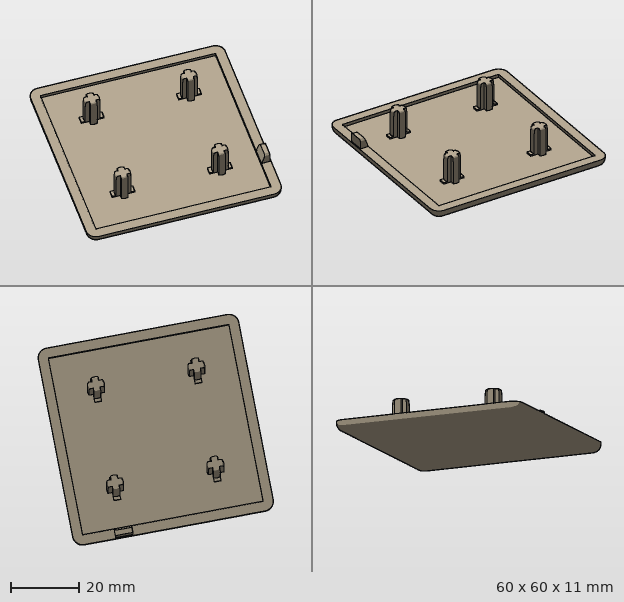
import cadquery as cq

plate_size = 60.0
plate_thickness = 3.0
plate_corner_radius = 3.0
underside_fillet = 2.45

rim_width = 3.0
recess_depth = 1.0
floor_z = plate_thickness - recess_depth

overall_height = 11.0
post_spacing = 30.0
post_diameter = 5.05
arm_width = 2.05
post_tip_diameter = 4.6
post_taper_height = 1.85
post_tip_fillet = 0.55
foot_length = 7.0
foot_height = 0.5

hook_x = post_spacing / 2
hook_width = 5.2
hook_height = 3.0
hook_edge_gap = 0.3
hook_base_thickness = 2.7
hook_top_thickness = 1.55
hook_corner_radius = 1.0


def make_plate():
    plate = (
        cq.Workplane("XY")
        .rect(plate_size, plate_size)
        .extrude(plate_thickness)
        .edges("|Z")
        .fillet(plate_corner_radius)
        .faces("<Z")
        .edges()
        .fillet(underside_fillet)
    )
    recess_size = plate_size - 2 * rim_width
    recess = (
        cq.Workplane("XY", origin=(0, 0, floor_z))
        .rect(recess_size, recess_size)
        .extrude(recess_depth)
    )
    return plate.cut(recess)


def make_post():
    """Cross trimmed to a round, tapered outline, with two feet along Y."""
    post_height = overall_height - floor_z
    radius = post_diameter / 2
    tip_radius = post_tip_diameter / 2
    envelope = (
        cq.Workplane("XZ")
        .lineTo(radius, 0)
        .lineTo(radius, post_height - post_taper_height)
        .lineTo(tip_radius, post_height)
        .lineTo(0, post_height)
        .close()
        .revolve(360, (0, 0), (0, 1))
        .faces(">Z")
        .edges()
        .fillet(post_tip_fillet)
    )
    cross = (
        cq.Workplane("XY")
        .rect(post_diameter, arm_width)
        .extrude(post_height)
        .union(cq.Workplane("XY").rect(arm_width, post_diameter).extrude(post_height))
    )
    feet = cq.Workplane("XY").rect(arm_width, foot_length).extrude(foot_height)
    return cross.intersect(envelope).union(feet)


def make_hook():
    """Upright tab with a sloped inner face and rounded upper corners."""
    back_y = plate_size / 2 - hook_edge_gap
    profile = (
        cq.Workplane("YZ", origin=(hook_x - hook_width / 2, 0, plate_thickness))
        .moveTo(back_y, 0)
        .lineTo(back_y, hook_height)
        .lineTo(back_y - hook_top_thickness, hook_height)
        .lineTo(back_y - hook_base_thickness, 0)
        .close()
        .extrude(hook_width)
    )
    front_outline = (
        cq.Workplane("XY", origin=(hook_x, back_y - hook_base_thickness / 2, plate_thickness))
        .box(hook_width, hook_base_thickness, hook_height, centered=(True, True, False))
        .edges("|Y and >Z")
        .fillet(hook_corner_radius)
    )
    return profile.intersect(front_outline)


result = make_plate().union(make_hook())
post = make_post()
for x in (-post_spacing / 2, post_spacing / 2):
    for y in (-post_spacing / 2, post_spacing / 2):
        result = result.union(post.translate((x, y, floor_z)))